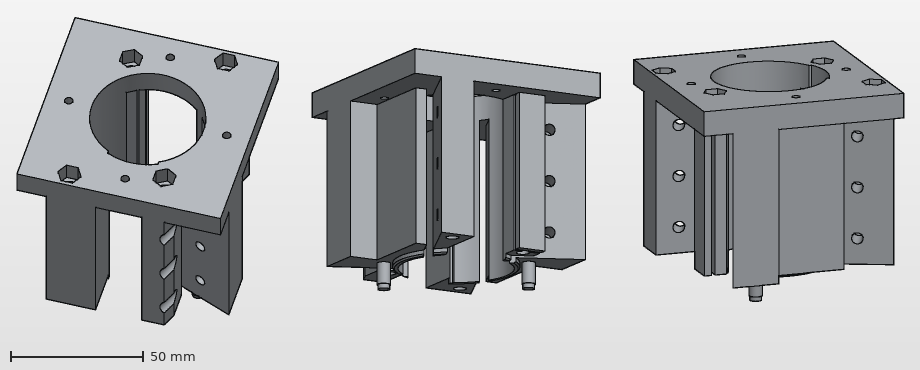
import cadquery as cq
import math

side = 80.0
half = side / 2
plate_thickness = 9.6
body_bottom = -70.1
ring_bottom = -72.3
pin_step = -78.4
pin_bottom = -80.2

bore_radius = 22.0
ring_radius = 24.1
ring_chamfer = 0.65
sharp_rim_left = -18.5
sharp_rim_back = -12.8
notch_radius = 22.9
notch_half_width = 9.9

column_edge = 28.55
side_column_inner = 10.1
slot_half_width = 9.1
rear_slot_right = 14.5

corner_angle = 22.5
slit_thickness = 3.4
corner_wall = 20.1
corner_wall_top = 17.9

cross_hole_x = 27.3
cross_hole_diameter = 4.3
cross_hole_depth = 12.0
access_diameter = 7.7
cross_hole_spacing = 20.0
cross_hole_count = 3

nut_hole_diameter = 5.0
nut_across_flats = 7.85
nut_depth = 7.2
outer_nut = (20.85, 34.65)
inner_nut = (14.1, -26.5)
small_hole_diameter = 3.1
small_hole_radius = 31.0
pin_position = (23.7, -13.6)
pin_diameter = 5.2
pin_tip_diameter = 4.6

fin_front = 30.0
fin_back = 32.9

slope_sin = math.sin(math.radians(corner_angle))
slope_cos = math.cos(math.radians(corner_angle))
floor_offset = column_edge * slope_cos - half * slope_sin
slit_offset = floor_offset + slit_thickness


def block(x_min, x_max, y_min, y_max, z_min, z_max):
    size = (x_max - x_min, y_max - y_min, z_max - z_min)
    return cq.Workplane("XY").box(*size, centered=False).translate((x_min, y_min, z_min))


def cylinder(x, y, diameter, z_min, z_max):
    return cq.Workplane("XY", origin=(x, y, z_min)).circle(diameter / 2).extrude(z_max - z_min)


def half_turn(shape):
    return shape.rotate((0, 0, 0), (0, 0, 1), 180)


def slope_y(x, offset):
    """Y of the line parallel to the slanted floor at this distance from the bore axis."""
    return -(offset + x * slope_sin) / slope_cos


def bottom_ring():
    ring = cylinder(0, 0, 2 * ring_radius, ring_bottom, body_bottom)
    sharp_stretch = block(sharp_rim_left, 0, -half, sharp_rim_back, ring_bottom, body_bottom)
    return ring.faces("<Z").chamfer(ring_chamfer).union(ring.intersect(sharp_stretch))


def corner_pocket():
    """Open corner at +X, -Y, with the slit reaching into the bore."""
    strip_end_y = -half + (corner_wall - corner_wall_top) * slope_cos / slope_sin
    outline = [
        (half, -half),
        (half, slope_y(half, floor_offset)),
        (-floor_offset * slope_sin, -floor_offset * slope_cos),
        (-slit_offset * slope_sin, -slit_offset * slope_cos),
        (corner_wall, slope_y(corner_wall, slit_offset)),
        (corner_wall, strip_end_y),
        (corner_wall_top, -half),
    ]
    height = -plate_thickness - ring_bottom
    return cq.Workplane("XY", origin=(0, 0, ring_bottom)).polyline(outline).close().extrude(height)


def corner_holes():
    """Blind holes square to the slanted floor, with wider access bores in front of them."""
    hole_y = slope_y(cross_hole_x, floor_offset)
    inward = cq.Vector(slope_sin, slope_cos, 0)
    holes = cq.Workplane("XY")
    for row in range(1, cross_hole_count + 1):
        start = cq.Vector(cross_hole_x, hole_y, -row * cross_hole_spacing)
        hole = cq.Solid.makeCylinder(cross_hole_diameter / 2, cross_hole_depth, start, inward)
        access = cq.Solid.makeCylinder(access_diameter / 2, half, start, inward * -1)
        holes = holes.add(hole).add(access)
    return holes.combine()


def nut_seat(position, turn):
    """Through hole with a hexagonal nut pocket sunk into the plate top."""
    across_corners = nut_across_flats / math.cos(math.pi / 6)
    pocket = cq.Workplane("XY").polygon(6, across_corners).extrude(-nut_depth)
    pocket = pocket.rotate((0, 0, 0), (0, 0, 1), turn).translate((*position, 0))
    return pocket.union(cylinder(*position, nut_hole_diameter, body_bottom, 0))


def pin():
    shank = cylinder(*pin_position, pin_diameter, pin_step, body_bottom)
    return shank.union(cylinder(*pin_position, pin_tip_diameter, pin_bottom, pin_step))


body = block(-half, half, -half, half, body_bottom, -plate_thickness).union(bottom_ring())
under_plate = (ring_bottom, -plate_thickness)
side_recess = block(-half, -column_edge, -half, side_column_inner, *under_plate)
body = body.cut(side_recess).cut(half_turn(side_recess))
body = body.cut(block(-slot_half_width, slot_half_width, -half, 0, *under_plate))
body = body.cut(block(-slot_half_width, rear_slot_right, 0, half, *under_plate))
body = body.cut(block(-half, rear_slot_right, column_edge, half, *under_plate))
for quarter in range(4):
    for cutter in (corner_pocket(), corner_holes()):
        body = body.cut(cutter.rotate((0, 0, 0), (0, 0, 1), 90 * quarter))

plate = block(-half, half, -half, half, -plate_thickness, 0)
fin = block(-corner_wall, -slot_half_width, fin_front, fin_back, body_bottom, -plate_thickness)
part = body.union(plate).union(fin).union(pin()).union(half_turn(pin()))

part = part.cut(cylinder(0, 0, 2 * bore_radius, ring_bottom, 0))
notch_zone = block(-notch_half_width, notch_half_width, -half, 0, ring_bottom, 0)
part = part.cut(cylinder(0, 0, 2 * notch_radius, ring_bottom, 0).intersect(notch_zone))

for seat in (nut_seat(outer_nut, 0), nut_seat(inner_nut, 30)):
    part = part.cut(seat).cut(half_turn(seat))
for quarter in range(4):
    angle = math.radians(90 * quarter)
    x = small_hole_radius * math.cos(angle)
    y = small_hole_radius * math.sin(angle)
    part = part.cut(cylinder(x, y, small_hole_diameter, -plate_thickness, 0))

result = part